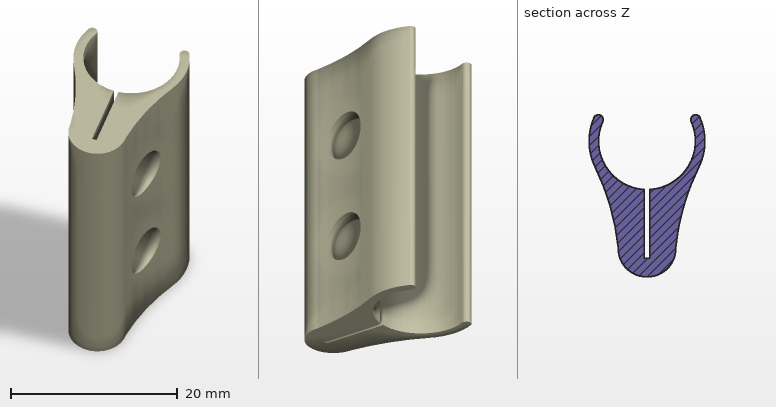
import cadquery as cq
import math

length = 35.0
bore_radius = 5.78
clip_width = 13.95
clip_radius = clip_width / 2
tail_radius = 3.5
tail_center_y = -12.8
flank_end_rise = 0.15
flank_radius = 27.5
tip_center_y = 2.6

slot_width = 0.6
slot_end_y = -14.05

screw_diameter = 6.0
screw_y = -8.05
screw_spacing = 13.6
screw_floor_x = 2.45

tip_radius = (clip_radius - bore_radius) / 2
jaw_radius = (clip_radius + bore_radius) / 2
tip_angle = math.asin(tip_center_y / jaw_radius)

clip_reach = clip_radius + flank_radius
tail_reach = tail_radius + flank_radius
flank_center_y = (clip_reach**2 - tail_reach**2 + tail_center_y**2) / (2 * tail_center_y)
flank_center_x = math.sqrt(clip_reach**2 - flank_center_y**2)


def polar(radius, angle, center=(0, 0)):
    """Point at an angle in radians on a circle."""
    return (center[0] + radius * math.cos(angle), center[1] + radius * math.sin(angle))


def mirrored(point):
    """Point reflected to the other side of the symmetry plane."""
    return (-point[0], point[1])


def make_body():
    """Open clip blending through concave flanks into a rounded tail."""
    clip_angle = math.atan2(flank_center_y, flank_center_x)
    tangent_angle = math.atan2(flank_center_y - tail_center_y, flank_center_x)
    tail_angle = math.asin(flank_end_rise / tail_radius)
    flank_angle = math.pi + (clip_angle + tangent_angle) / 2

    inner_tip = polar(bore_radius, tip_angle)
    outer_tip = polar(clip_radius, tip_angle)
    tip_crown = polar(tip_radius, tip_angle + math.pi / 2, polar(jaw_radius, tip_angle))
    clip_middle = polar(clip_radius, (tip_angle + clip_angle) / 2)
    flank_start = polar(clip_radius, clip_angle)
    flank_middle = polar(flank_radius, flank_angle, (flank_center_x, flank_center_y))
    flank_end = polar(tail_radius, tail_angle, (0, tail_center_y))

    return (
        cq.Workplane("XY")
        .moveTo(*inner_tip)
        .threePointArc(tip_crown, outer_tip)
        .threePointArc(clip_middle, flank_start)
        .threePointArc(flank_middle, flank_end)
        .threePointArc((0, tail_center_y - tail_radius), mirrored(flank_end))
        .threePointArc(mirrored(flank_middle), mirrored(flank_start))
        .threePointArc(mirrored(clip_middle), mirrored(outer_tip))
        .threePointArc(mirrored(tip_crown), mirrored(inner_tip))
        .threePointArc((0, -bore_radius), inner_tip)
        .close()
        .extrude(length)
    )


def make_slot():
    """Clamping slit running from the bore into the tail."""
    slot_depth = -slot_end_y
    return cq.Workplane("XY").center(0, slot_end_y / 2).rect(slot_width, slot_depth).extrude(length)


def make_screw_pockets():
    """Blind round pockets entering the +X flank."""
    pocket_centers = [(screw_y, length / 2 + side * screw_spacing / 2) for side in (-1, 1)]
    return (
        cq.Workplane("YZ", origin=(screw_floor_x, 0, 0))
        .pushPoints(pocket_centers)
        .circle(screw_diameter / 2)
        .extrude(clip_radius)
    )


result = make_body().cut(make_slot()).cut(make_screw_pockets())